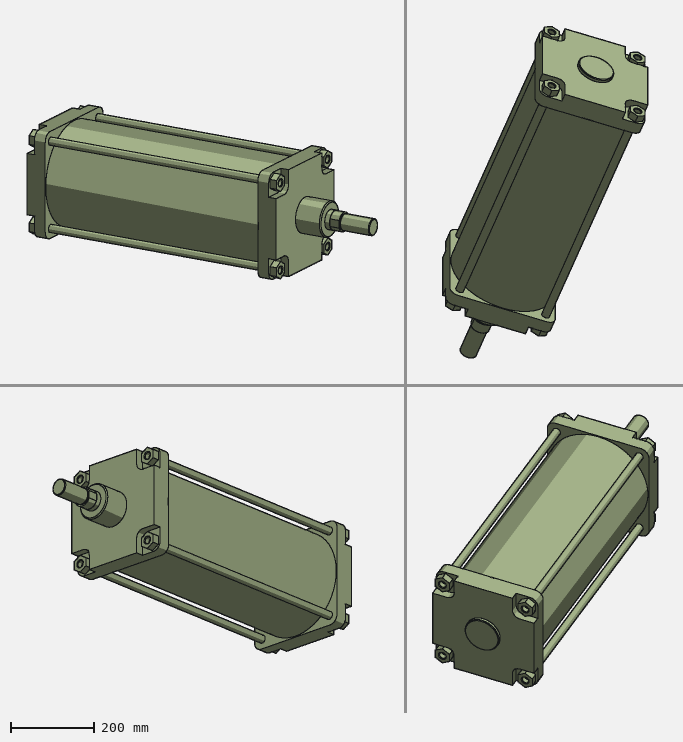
import cadquery as cq
import math


head_size = 270.0
head_thickness = 51.5
head_corner_radius = 22.0
head_span = 700.0
recess_size = 57.5
recess_depth = 21.0
recess_corner_radius = 20.0

boss_diameter = 90.0
rear_boss_length = 9.0
rear_boss_chamfer = 2.0
neck_length = 70.0
neck_chamfer = 3.0

barrel_diameter = 265.0
barrel_length = head_span - 2 * head_thickness

tie_rod_diameter = 20.0
tie_rod_pitch = 220.0
nut_across_flats = 38.0
nut_across_corners = nut_across_flats / math.cos(math.radians(30))
nut_setback = 2.5
socket_diameter = 17.0
socket_depth = 15.0
socket_chamfer = 2.0

rod_diameter = 50.0
rod_plain_length = 13.5
rod_flats_length = 25.5
rod_flats_width = 45.0
rod_flats_diameter = 49.0
thread_diameter = 42.0
thread_chamfer = 2.0
thread_relief_diameter = 41.0
thread_relief_length = 2.5
rod_reach = 192.0

front_face_x = head_span
neck_end_x = front_face_x + neck_length
flats_start_x = neck_end_x + rod_plain_length
shoulder_x = flats_start_x + rod_flats_length
rod_tip_x = front_face_x + rod_reach
tie_rod_places = [(y * tie_rod_pitch / 2, z * tie_rod_pitch / 2) for y in (-1, 1) for z in (-1, 1)]


def cylinder_along_x(diameter, start_x, length):
    return cq.Workplane("YZ", origin=(start_x, 0, 0)).circle(diameter / 2).extrude(length)


def make_head(outer_face_x, inward, boss):
    """Square head; inward is +1 or -1, the X direction from the outer face towards the barrel."""
    face = cq.Workplane("YZ", origin=(outer_face_x, 0, 0))
    head = face.rect(head_size, head_size).extrude(inward * head_thickness)
    head = head.edges("|X").fillet(head_corner_radius)

    half = head_size / 2
    corners = [(y * half, z * half) for y in (-1, 1) for z in (-1, 1)]
    recesses = face.pushPoints(corners).rect(2 * recess_size, 2 * recess_size)
    recesses = recesses.extrude(inward * recess_depth).edges("|X").fillet(recess_corner_radius)
    tie_rod_holes = face.pushPoints(tie_rod_places).circle(tie_rod_diameter / 2)
    tie_rod_holes = tie_rod_holes.extrude(inward * head_thickness)
    return head.cut(recesses).cut(tie_rod_holes).union(boss)


def make_rear_head():
    boss = cylinder_along_x(boss_diameter, -rear_boss_length, rear_boss_length)
    boss = boss.faces("<X").chamfer(rear_boss_chamfer)
    return make_head(0, 1, boss)


def make_front_head():
    neck = cylinder_along_x(boss_diameter, front_face_x, neck_length)
    neck = neck.faces(">X").chamfer(neck_chamfer)
    head = make_head(front_face_x, -1, neck)
    bore_start_x = front_face_x - head_thickness
    return head.cut(cylinder_along_x(rod_diameter, bore_start_x, head_thickness + neck_length))


def make_barrel():
    return cylinder_along_x(barrel_diameter, head_thickness, barrel_length)


def make_nut():
    """Hexagon nut on the X axis, standing on the recess floor, with one corner pointing along Z."""
    hexagon = cq.Workplane("YZ", origin=(nut_setback, 0, 0)).polygon(6, nut_across_corners)
    return hexagon.extrude(recess_depth - nut_setback).rotate((0, 0, 0), (1, 0, 0), 90)


def make_socket():
    """Blind hole with a chamfered mouth, cut into the end of a tie rod at the nut face."""
    radius = socket_diameter / 2
    profile = [
        (nut_setback, 0),
        (nut_setback, radius + socket_chamfer),
        (nut_setback + socket_chamfer, radius),
        (nut_setback + socket_depth, radius),
        (nut_setback + socket_depth, 0),
    ]
    return cq.Workplane("XY").polyline(profile).close().revolve(360, (0, 0, 0), (1, 0, 0))


def make_tie_rod(y, z):
    middle = (head_span / 2, 0, 0)
    nut = make_nut()
    socket = make_socket()
    tie_rod_length = head_span - 2 * nut_setback
    tie_rod = cylinder_along_x(tie_rod_diameter, nut_setback, tie_rod_length)
    tie_rod = tie_rod.union(nut).union(nut.mirror("YZ", middle))
    tie_rod = tie_rod.cut(socket).cut(socket.mirror("YZ", middle))
    return tie_rod.translate((0, y, z))


def make_piston_rod():
    """Rod from the barrel end through the front head, with wrench flats facing -Y and +Y."""
    start_x = front_face_x - head_thickness
    rod = cylinder_along_x(rod_diameter, start_x, flats_start_x - start_x)

    wrench_stretch = cylinder_along_x(rod_flats_diameter, flats_start_x, rod_flats_length)
    flats = cq.Workplane("XY").box(rod_flats_length, rod_flats_width, rod_flats_diameter)
    flats_middle_x = flats_start_x + rod_flats_length / 2
    wrench_stretch = wrench_stretch.intersect(flats.translate((flats_middle_x, 0, 0)))

    relief = cylinder_along_x(thread_relief_diameter, shoulder_x, thread_relief_length)
    thread_start_x = shoulder_x + thread_relief_length
    thread = cylinder_along_x(thread_diameter, thread_start_x, rod_tip_x - thread_start_x)
    thread = thread.faces(">X").chamfer(thread_chamfer)
    return rod.union(wrench_stretch).union(relief).union(thread)


rear_head = make_rear_head()
front_head = make_front_head()
barrel = make_barrel()
piston_rod = make_piston_rod()
tie_rods = [make_tie_rod(y, z) for y, z in tie_rod_places]

result = cq.Compound.makeCompound([
    rear_head.val(),
    front_head.val(),
    barrel.val(),
    piston_rod.val(),
    *[tie_rod.val() for tie_rod in tie_rods],
])